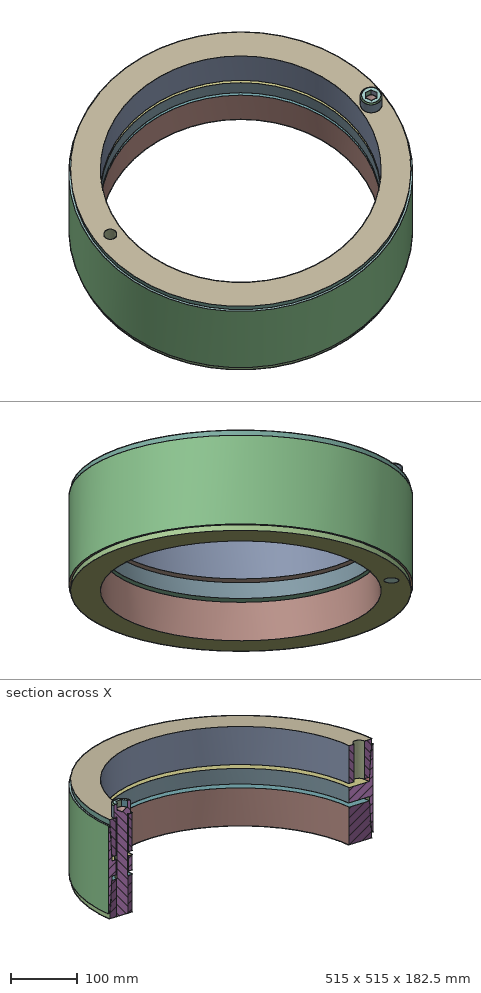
import cadquery as cq
import math


outer_diameter = 515.0
outer_ring_height = 142.0
bore_diameter = 420.0
web_height = 25.0

assembly_height = 160.5
flange_diameter = 510.0
flange_nose_diameter = 499.5
flange_gap = 6.0

bolt_circle_radius = 229.5
screw_diameter = 22.0
clearance_diameter = 24.0
head_diameter = 33.0
head_height = 22.0
head_chamfer = 2.0
socket_across_flats = 17.0
socket_depth = 11.0
socket_tip_angle = 120.0

release_hole_diameter = 19.0

bore_radius = bore_diameter / 2
outer_radius = outer_diameter / 2
flange_radius = flange_diameter / 2
nose_radius = flange_nose_diameter / 2
top_z = assembly_height / 2
ring_top_z = outer_ring_height / 2
web_top_z = web_height / 2
nose_z = web_top_z + flange_gap


def cone_radius(z):
    """Radius of the shared conical surface at height z above the middle plane."""
    taper = (flange_radius - nose_radius) / (top_z - nose_z)
    return nose_radius + taper * (z - nose_z)


def vertical_cylinder(y, diameter, bottom_z, height):
    return cq.Workplane("XY", origin=(0, y, bottom_z)).circle(diameter / 2).extrude(height)


def revolve_profile(points):
    """Revolve a closed (radius, z) profile around the Z axis."""
    return cq.Workplane("XZ").polyline(points).close().revolve(360, (0, 0, 0), (0, 1, 0))


def make_outer_ring():
    mouth_radius = cone_radius(ring_top_z)
    seat_end_radius = cone_radius(web_top_z)
    ring = revolve_profile([
        (outer_radius, -ring_top_z),
        (outer_radius, ring_top_z),
        (mouth_radius, ring_top_z),
        (seat_end_radius, web_top_z),
        (bore_radius, web_top_z),
        (bore_radius, -web_top_z),
        (seat_end_radius, -web_top_z),
        (mouth_radius, -ring_top_z),
    ])
    return ring.cut(vertical_cylinder(bolt_circle_radius, clearance_diameter, -web_top_z, web_height))


def make_flange_blank():
    return revolve_profile([
        (bore_radius, nose_z),
        (nose_radius, nose_z),
        (flange_radius, top_z),
        (bore_radius, top_z),
    ])


def make_upper_flange():
    thickness = top_z - nose_z
    screw_hole = vertical_cylinder(bolt_circle_radius, clearance_diameter, nose_z, thickness)
    release_hole = vertical_cylinder(-bolt_circle_radius, release_hole_diameter, nose_z, thickness)
    return make_flange_blank().cut(screw_hole).cut(release_hole)


def make_lower_flange():
    screw_hole = vertical_cylinder(bolt_circle_radius, screw_diameter, -top_z, top_z - nose_z)
    return make_flange_blank().mirror("XY").cut(screw_hole)


def make_socket():
    """Hexagonal socket, corners toward +Y and -Y, with a conical drill tip at its floor."""
    corner_diameter = socket_across_flats / math.cos(math.pi / 6)
    floor_z = top_z + head_height - socket_depth
    tip_radius = socket_across_flats / 2
    tip_depth = tip_radius / math.tan(math.radians(socket_tip_angle / 2))
    hexagon = (
        cq.Workplane("XY", origin=(0, bolt_circle_radius, floor_z))
        .transformed(rotate=(0, 0, 90))
        .polygon(6, corner_diameter)
        .extrude(socket_depth)
    )
    tip = cq.Workplane(
        cq.Solid.makeCone(
            tip_radius, 0, tip_depth, cq.Vector(0, bolt_circle_radius, floor_z), cq.Vector(0, 0, -1)
        )
    )
    return hexagon.union(tip)


def make_screw():
    """Socket-head screw whose shank ends flush with the lower face of the assembly."""
    head = vertical_cylinder(bolt_circle_radius, head_diameter, top_z, head_height)
    head = head.faces(">Z").edges().chamfer(head_chamfer)
    shank = vertical_cylinder(bolt_circle_radius, screw_diameter, -top_z, assembly_height)
    return head.union(shank).cut(make_socket())


outer_ring = make_outer_ring()
upper_flange = make_upper_flange()
lower_flange = make_lower_flange()
screw = make_screw()

result = cq.Compound.makeCompound([
    outer_ring.val(),
    upper_flange.val(),
    lower_flange.val(),
    screw.val(),
])